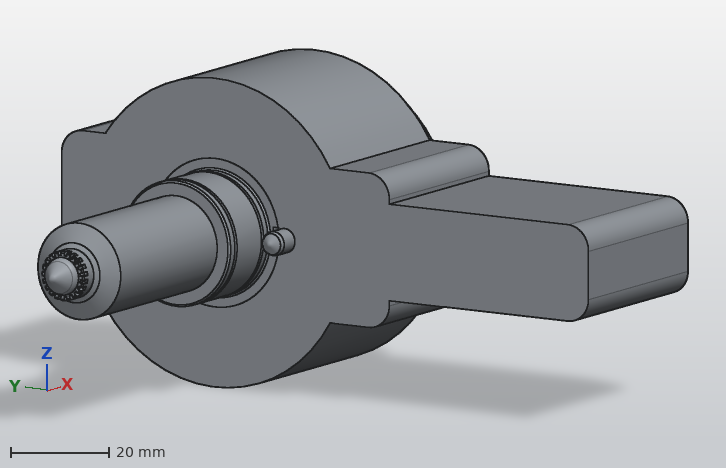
import cadquery as cq
import math


HUB_RADIUS = 32.0
HOUSING_LENGTH = 38.0
LUG_END_Y = 37.0
LUG_HALF_HEIGHT = 18.0
SHOULDER_END_Y = -42.0
SHOULDER_HALF_HEIGHT = 16.0
HANDLE_END_Y = -90.0
HANDLE_HALF_HEIGHT = 10.0
EDGE_RADIUS = 5.0

SLEEVE_RADIUS = 13.0
SLEEVE_FRONT_X = -15.0
SLEEVE_CHAMFER = 0.4
FLANGE_RADIUS = 15.4
FLANGE_THICKNESS = 2.0

RING_WIDTH = 0.85
RING_DEPTH = 0.8
RING_INSET = 2.0
RING_STARTS = (
    SLEEVE_FRONT_X + RING_INSET,
    -RING_INSET - RING_WIDTH,
)

PIN_RADIUS = 2.5
PIN_CENTRE_Y = -16.75
PIN_EMBEDDED = 10.0
PIN_TAPER_START_X = -4.1
PIN_POINT_BASE_X = -5.0
PIN_POINT_BASE_RADIUS = 2.2
PIN_POINT_ANGLE = 120.0
NOTCH_FLOOR_Y = -14.0

NOZZLE_RADIUS = 10.0
NOZZLE_SHOULDER_X = -51.75
NOZZLE_FRONT_X = -53.7

SPIGOT_RADIUS = 6.2
SPIGOT_END_X = -48.0
COLLAR_RADIUS = 5.1
COLLAR_FRONT_X = -58.2
COLLAR_END_X = -54.3
COLLAR_CHAMFER = 0.3
NEEDLE_RADIUS = 3.9
NEEDLE_BLEND_RADIUS = 2.0
NEEDLE_HALF_ANGLE = 45.0
APEX_X = -63.0
TOOTH_COUNT = 20
TOOTH_WIDTH = 0.8
TOOTH_ROOT_RADIUS = 4.3
TOOTH_LENGTH = 1.6

KNOB_NECK_RADIUS = 18.0
KNOB_NECK_LENGTH = 2.0
KNOB_RIM_RADIUS = 26.0
KNOB_FLARE_LENGTH = 8.0


def turned(points):
    """Revolve an (x, radius) outline around the X axis."""
    return cq.Workplane("XY").polyline(points).close().revolve(360, (0, 0, 0), (1, 0, 0))


def cylinder(start_x, end_x, radius, centre_y=0.0):
    """Cylinder along X between two stations."""
    return cq.Workplane("YZ", origin=(start_x, centre_y, 0)).circle(radius).extrude(end_x - start_x)


def tube(start_x, end_x, inner_radius, outer_radius):
    """Plain ring around the X axis."""
    return turned([
        (start_x, inner_radius),
        (start_x, outer_radius),
        (end_x, outer_radius),
        (end_x, inner_radius),
    ])


def rounded_bar(end_y, half_height):
    """Bar from the hub centre to end_y with its two outer edges rounded."""
    side = ">Y" if end_y > 0 else "<Y"
    return (
        cq.Workplane("YZ")
        .center(end_y / 2, 0)
        .rect(abs(end_y), 2 * half_height)
        .extrude(HOUSING_LENGTH)
        .faces(side)
        .edges("|X")
        .fillet(EDGE_RADIUS)
    )


def make_housing():
    body = (
        cylinder(0, HOUSING_LENGTH, HUB_RADIUS)
        .union(rounded_bar(LUG_END_Y, LUG_HALF_HEIGHT))
        .union(rounded_bar(SHOULDER_END_Y, SHOULDER_HALF_HEIGHT))
        .union(rounded_bar(HANDLE_END_Y, HANDLE_HALF_HEIGHT))
    )
    flange_recess = cylinder(0, FLANGE_THICKNESS, FLANGE_RADIUS)
    pin_hole = cylinder(0, PIN_EMBEDDED, PIN_RADIUS, PIN_CENTRE_Y)
    return body.cut(flange_recess).cut(pin_hole)


def make_bushing():
    body = turned([
        (SLEEVE_FRONT_X, NOZZLE_RADIUS),
        (SLEEVE_FRONT_X, SLEEVE_RADIUS - SLEEVE_CHAMFER),
        (SLEEVE_FRONT_X + SLEEVE_CHAMFER, SLEEVE_RADIUS),
        (-SLEEVE_CHAMFER, SLEEVE_RADIUS),
        (0, SLEEVE_RADIUS + SLEEVE_CHAMFER),
        (0, FLANGE_RADIUS),
        (FLANGE_THICKNESS, FLANGE_RADIUS),
        (FLANGE_THICKNESS, NOZZLE_RADIUS),
    ])
    notch_depth = NOTCH_FLOOR_Y + FLANGE_RADIUS
    notch = (
        cq.Workplane("XY")
        .box(FLANGE_THICKNESS, notch_depth, 2 * PIN_RADIUS, centered=(False, False, True))
        .translate((0, -FLANGE_RADIUS, 0))
    )
    body = body.cut(notch)
    for start_x in RING_STARTS:
        body = body.cut(make_ring(start_x))
    return body


def make_ring(start_x):
    return tube(start_x, start_x + RING_WIDTH, SLEEVE_RADIUS - RING_DEPTH, SLEEVE_RADIUS)


def make_pin():
    point_length = PIN_POINT_BASE_RADIUS / math.tan(math.radians(PIN_POINT_ANGLE / 2))
    pin = turned([
        (PIN_POINT_BASE_X - point_length, 0),
        (PIN_POINT_BASE_X, PIN_POINT_BASE_RADIUS),
        (PIN_TAPER_START_X, PIN_RADIUS),
        (PIN_EMBEDDED, PIN_RADIUS),
        (PIN_EMBEDDED, 0),
    ])
    return pin.translate((0, PIN_CENTRE_Y, 0))


def make_nozzle():
    return turned([
        (NOZZLE_FRONT_X, SPIGOT_RADIUS),
        (NOZZLE_SHOULDER_X, NOZZLE_RADIUS),
        (FLANGE_THICKNESS, NOZZLE_RADIUS),
        (FLANGE_THICKNESS, 0),
        (SPIGOT_END_X, 0),
        (SPIGOT_END_X, SPIGOT_RADIUS),
    ])


def make_tooth_gaps():
    """Gaps between the collar teeth, open to the front and to the outside."""
    tooth_end_x = COLLAR_FRONT_X + TOOTH_LENGTH
    gaps = tube(COLLAR_FRONT_X, tooth_end_x, TOOTH_ROOT_RADIUS, COLLAR_RADIUS)
    tooth = (
        cq.Workplane("XY")
        .box(TOOTH_LENGTH, TOOTH_WIDTH, COLLAR_RADIUS, centered=(False, True, False))
        .translate((COLLAR_FRONT_X, 0, 0))
    )
    for index in range(TOOTH_COUNT):
        gaps = gaps.cut(tooth.rotate((0, 0, 0), (1, 0, 0), index * 360 / TOOTH_COUNT))
    return gaps


def make_needle():
    """Pointed cone blended into a cylinder by a tangent arc."""
    half_angle = math.radians(NEEDLE_HALF_ANGLE)
    blend_start_radius = NEEDLE_RADIUS - NEEDLE_BLEND_RADIUS * (1 - math.cos(half_angle))
    blend_start_x = APEX_X + blend_start_radius / math.tan(half_angle)
    blend_end_x = blend_start_x + NEEDLE_BLEND_RADIUS * math.sin(half_angle)
    return (
        cq.Workplane("XY")
        .moveTo(APEX_X, 0)
        .lineTo(blend_start_x, blend_start_radius)
        .tangentArcPoint((blend_end_x, NEEDLE_RADIUS), relative=False)
        .lineTo(SPIGOT_END_X, NEEDLE_RADIUS)
        .lineTo(SPIGOT_END_X, 0)
        .close()
        .revolve(360, (0, 0, 0), (1, 0, 0))
    )


def make_tip():
    collar = turned([
        (COLLAR_FRONT_X, 0),
        (COLLAR_FRONT_X, COLLAR_RADIUS - COLLAR_CHAMFER),
        (COLLAR_FRONT_X + COLLAR_CHAMFER, COLLAR_RADIUS),
        (COLLAR_END_X, COLLAR_RADIUS),
        (NOZZLE_FRONT_X, SPIGOT_RADIUS),
        (SPIGOT_END_X, SPIGOT_RADIUS),
        (SPIGOT_END_X, 0),
    ])
    return collar.cut(make_tooth_gaps()).union(make_needle())


def make_knob():
    neck_end_x = HOUSING_LENGTH + KNOB_NECK_LENGTH
    rim_x = neck_end_x + KNOB_FLARE_LENGTH
    return turned([
        (HOUSING_LENGTH, 0),
        (HOUSING_LENGTH, KNOB_NECK_RADIUS),
        (neck_end_x, KNOB_NECK_RADIUS),
        (rim_x, KNOB_RIM_RADIUS),
        (rim_x, 0),
    ])


housing = make_housing()
bushing = make_bushing()
rings = [make_ring(start_x) for start_x in RING_STARTS]
pin = make_pin()
nozzle = make_nozzle()
tip = make_tip()
knob = make_knob()

result = cq.Compound.makeCompound([
    housing.val(),
    bushing.val(),
    *[ring.val() for ring in rings],
    pin.val(),
    nozzle.val(),
    tip.val(),
    knob.val(),
])